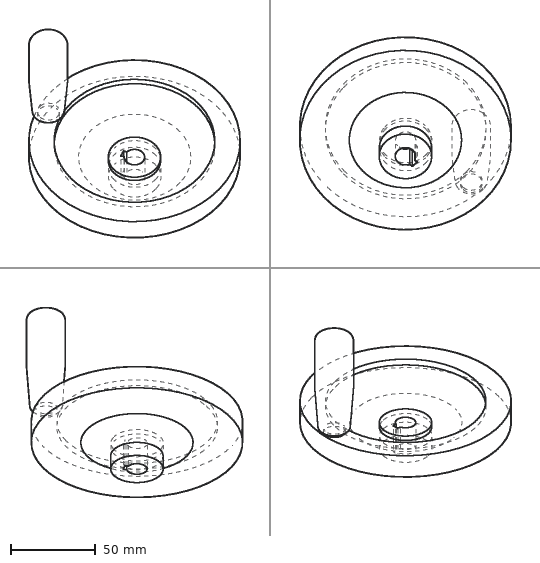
import cadquery as cq
import math

wheel_radius = 62.5
rim_inner_radius = 47.5
rim_top_z = 33.0
rim_height = 14.8
rim_bottom_z = rim_top_z - rim_height
bowl_wall_depth = 4.0

hub_radius = 15.5
hub_neck_height = 9.0
hub_top_z = 18.0
hub_boss_height = 3.0
cone_outer_radius = 33.2

bore_radius = 6.0
key_width = 4.0
key_reach = 7.8

handle_x = -55.0
handle_top_z = 100.5
neck_radius = 6.5
neck_height = 2.5
grip_radius = 11.5
grip_bottom_radius = 9.5
grip_bottom_z = rim_top_z + neck_height
grip_bottom_fillet = 1.2
taper_top_z = 63.7
dome_radius = 31.0
shoulder_radius = 3.25



def make_wheel():
    """Rim, conical web and hub turned as one profile."""
    profile = (
        cq.Workplane("XZ")
        .moveTo(0, 0)
        .lineTo(hub_radius, 0)
        .lineTo(hub_radius, hub_neck_height)
        .lineTo(cone_outer_radius, rim_bottom_z)
        .lineTo(wheel_radius, rim_bottom_z)
        .lineTo(wheel_radius, rim_top_z)
        .lineTo(rim_inner_radius, rim_top_z)
        .lineTo(rim_inner_radius, rim_top_z - bowl_wall_depth)
        .lineTo(hub_radius, hub_top_z - hub_boss_height)
        .lineTo(hub_radius, hub_top_z)
        .lineTo(0, hub_top_z)
        .close()
    )
    return profile.revolve(360, (0, 0, 0), (0, 1, 0))


def make_bore():
    """Through bore with a rectangular keyway on the -X side."""
    bore = cq.Workplane("XY").circle(bore_radius).extrude(hub_top_z)
    keyway = cq.Workplane("XY").center(-key_reach / 2, 0).rect(key_reach, key_width).extrude(hub_top_z)
    return bore.union(keyway)


def make_grip():
    """Grip with a tapered lower part, a domed end and rounded edges."""
    dome_centre_z = handle_top_z - dome_radius
    shoulder_centre_radius = grip_radius - shoulder_radius
    centre_distance = dome_radius - shoulder_radius
    shoulder_z = dome_centre_z + math.sqrt(centre_distance**2 - shoulder_centre_radius**2)
    dome_edge_radius = shoulder_centre_radius * dome_radius / centre_distance
    dome_edge_z = dome_centre_z + math.sqrt(dome_radius**2 - dome_edge_radius**2)

    profile = (
        cq.Workplane("XZ")
        .moveTo(0, grip_bottom_z)
        .lineTo(grip_bottom_radius, grip_bottom_z)
        .lineTo(grip_radius, taper_top_z)
        .lineTo(grip_radius, shoulder_z)
        .tangentArcPoint((dome_edge_radius, dome_edge_z), relative=False)
        .tangentArcPoint((0, handle_top_z), relative=False)
        .close()
    )
    grip = profile.revolve(360, (0, 0, 0), (0, 1, 0))
    return grip.faces("<Z").edges().fillet(grip_bottom_fillet)


def make_handle():
    """Neck and grip on one axis, standing on top of the rim."""
    neck = cq.Workplane("XY").workplane(offset=rim_top_z).circle(neck_radius).extrude(neck_height)
    return neck.union(make_grip()).translate((handle_x, 0, 0))


result = make_wheel().cut(make_bore()).union(make_handle())